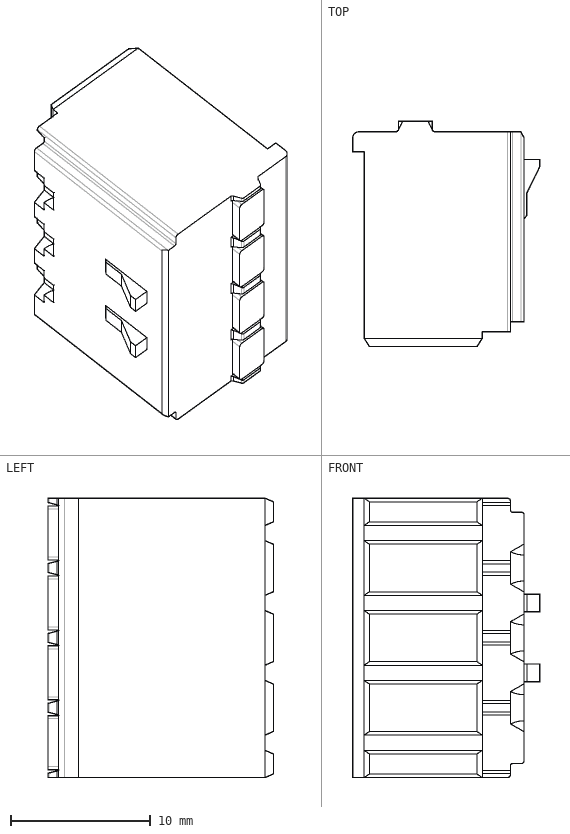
import cadquery as cq

height = 20.0
half_height = height / 2
pitch = 5.0
pole_centres = [-pitch, 0, pitch]
rib_centres = [-1.5 * pitch, -0.5 * pitch, 0.5 * pitch, 1.5 * pitch]
tooth_centres = [-2 * pitch, -pitch, 0, pitch, 2 * pitch]

block_left = 0.82
block_right = 12.28
shoulder_x = 11.3
rail_right = 9.28
rail_depth = 0.6
step_y = 1.78
back_y = 15.38
lip_y = 13.95
lip_radius = 0.45
back_chamfer_x = 0.25
back_chamfer_y = 0.45
shoulder_height = 1.0
shoulder_outer_radius = 0.22
shoulder_inner_radius = 0.15

rail_half_width = 1.95
rail_inset_x = 0.38
rail_inset_z = 0.25

tooth_front_y = 1.05
tooth_base_half = 0.52
tooth_tip_half = 0.3

back_height = 0.75
rib_left = 3.28
rib_right = 5.7
rib_half_length = 1.95
rib_edge_radius = 0.22
stud_x = (rib_left + rib_right) / 2
stud_base_half_x = 1.35
stud_neck_half_x = 1.22
stud_neck_height = 0.12
stud_tip_half_x = 0.9
stud_base_half_z = 0.52
stud_tip_half_z = 0.32
stud_edge_radius = 0.15

notch_depth = 1.0
notch_floor_half = 1.15
notch_mouth_half = 1.72
pocket_radius = 2.2
pocket_depth = 1.0

latch_tip_x = 13.4
latch_pad_x = 12.45
latch_bottom_y = 9.15
latch_pad_bevel = 0.25
latch_slope_start_y = 10.95
latch_slope_end_y = 12.88
latch_top_y = 13.4
latch_half_width = 0.65
latch_centres = [-pitch / 2, pitch / 2]


def box(x_range, y_range, z_range):
    """Box between the given limits."""
    sizes = [high - low for low, high in (x_range, y_range, z_range)]
    corner = (x_range[0], y_range[0], z_range[0])
    return cq.Workplane("XY").box(*sizes, centered=False).translate(corner)


def extrude_along_y(profile, y_start, y_end):
    """Extrude an XZ profile, drawn on Y = 0, between two Y planes."""
    return profile.extrude(y_start - y_end).translate((0, y_start, 0))


def frustum(base, tip, base_y, tip_y):
    """Taper between two XZ rectangles, each given as (x0, x1, z0, z1)."""
    def wire(limits, y):
        x0, x1, z0, z1 = limits
        corners = [(x0, y, z0), (x1, y, z0), (x1, y, z1), (x0, y, z1)]
        return cq.Wire.makePolygon([cq.Vector(*c) for c in corners], close=True)

    return cq.Workplane(obj=cq.Solid.makeLoft([wire(base, base_y), wire(tip, tip_y)], True))


def make_block():
    """Plain block with the rounded lip on its back left edge and a bevelled back right edge."""
    outline = [
        (block_left, rail_depth),
        (rail_right, rail_depth),
        (rail_right, step_y),
        (block_right, step_y),
        (block_right, back_y - back_chamfer_y),
        (block_right - back_chamfer_x, back_y),
        (0, back_y),
        (0, lip_y),
        (block_left, lip_y),
    ]
    block = cq.Workplane("XY").polyline(outline).close().extrude(height)
    block = block.translate((0, 0, -half_height))
    block = block.faces(">Y").edges("<X").fillet(lip_radius)

    return block


def make_shoulder_cut(side):
    """Waste beyond the rounded shoulder at one end; side is 1 for the top end, -1 for the bottom end."""
    ledge = half_height - shoulder_height
    outer = shoulder_outer_radius
    inner = shoulder_inner_radius
    corner = (
        cq.Workplane("XZ")
        .moveTo(shoulder_x - outer, side * half_height)
        .radiusArc((shoulder_x, side * (half_height - outer)), side * outer)
        .lineTo(shoulder_x, side * (ledge + inner))
        .radiusArc((shoulder_x + inner, side * ledge), -side * inner)
        .lineTo(block_right - outer, side * ledge)
        .radiusArc((block_right, side * (ledge - outer)), side * outer)
        .lineTo(block_right, side * half_height)
        .close()
    )
    return extrude_along_y(corner, 0, back_y)


def make_rail(z_low, z_high):
    """Front rail whose four sides slope inwards."""
    base = (block_left, rail_right, z_low, z_high)
    tip = (block_left + rail_inset_x, rail_right - rail_inset_x, z_low + rail_inset_z, z_high - rail_inset_z)
    return frustum(base, tip, rail_depth, 0)


def make_tooth(z):
    """Tapered tooth running along X in front of the step face."""
    base = (rail_right, shoulder_x, z - tooth_base_half, z + tooth_base_half)
    tip = (rail_right, shoulder_x, z - tooth_tip_half, z + tooth_tip_half)
    return frustum(base, tip, step_y, tooth_front_y)


def make_rib(z):
    """Straight rib on the back with rounded corner edges at its two ends."""
    z_range = (z - rib_half_length, z + rib_half_length)
    rib = box((rib_left, rib_right), (back_y, back_y + back_height), z_range)
    return rib.edges("|Y").fillet(rib_edge_radius)


def make_stud(z):
    """Stud on the back, tapered on all sides, with a bevelled foot and two rounded tip edges."""
    neck_y = back_y + stud_neck_height
    tip_y = back_y + back_height
    stud = (
        cq.Workplane("XY")
        .polyline([
            (stud_x - stud_base_half_x, back_y),
            (stud_x - stud_neck_half_x, neck_y),
            (stud_x - stud_tip_half_x, tip_y),
            (stud_x + stud_tip_half_x, tip_y),
            (stud_x + stud_neck_half_x, neck_y),
            (stud_x + stud_base_half_x, back_y),
        ])
        .close()
        .extrude(2 * stud_base_half_z)
        .translate((0, 0, z - stud_base_half_z))
    )
    stud = stud.edges("|Z and >Y").fillet(stud_edge_radius)

    left = stud_x - stud_base_half_x
    right = stud_x + stud_base_half_x
    base = (left, right, z - stud_base_half_z, z + stud_base_half_z)
    tip = (left, right, z - stud_tip_half_z, z + stud_tip_half_z)
    return stud.intersect(frustum(base, tip, back_y, tip_y))


def make_notch(z):
    """Flared notch in the right side; its pocket has convex round cheeks."""
    flare = (
        cq.Workplane("XZ")
        .polyline([
            (shoulder_x, z - notch_floor_half),
            (block_right, z - notch_mouth_half),
            (block_right, z + notch_mouth_half),
            (shoulder_x, z + notch_floor_half),
        ])
        .close()
    )
    pocket_length = block_right - shoulder_x
    bulge = pocket_radius - (pocket_radius**2 - pocket_length**2) ** 0.5
    mouth_half = notch_floor_half - bulge
    pocket = (
        cq.Workplane("XZ")
        .moveTo(shoulder_x, z - notch_floor_half)
        .radiusArc((block_right, z - mouth_half), pocket_radius)
        .lineTo(block_right, z + mouth_half)
        .radiusArc((shoulder_x, z + notch_floor_half), pocket_radius)
        .close()
    )
    notch_end = step_y + notch_depth
    notch = extrude_along_y(flare, step_y, notch_end)
    return notch.union(extrude_along_y(pocket, step_y, notch_end + pocket_depth))


def make_latch(z):
    """Wedge latch standing on a thin pad on the right side."""
    profile = [
        (block_right, latch_bottom_y),
        (latch_pad_x, latch_bottom_y + latch_pad_bevel),
        (latch_pad_x, latch_slope_start_y),
        (latch_tip_x, latch_slope_end_y),
        (latch_tip_x, latch_top_y),
        (block_right, latch_top_y),
    ]
    latch = cq.Workplane("XY").polyline(profile).close().extrude(2 * latch_half_width)
    return latch.translate((0, 0, z - latch_half_width))


part = make_block()

for centre in pole_centres:
    part = part.union(make_rail(centre - rail_half_width, centre + rail_half_width))
end_rail_start = 2 * pitch - rail_half_width
part = part.union(make_rail(end_rail_start, half_height))
part = part.union(make_rail(-half_height, -end_rail_start))

for centre in tooth_centres:
    part = part.union(make_tooth(centre)).union(make_stud(centre))

for centre in rib_centres:
    part = part.union(make_rib(centre))

for centre in pole_centres:
    part = part.cut(make_notch(centre))

for centre in latch_centres:
    part = part.union(make_latch(centre))

envelope = box((0, latch_tip_x), (0, back_y + back_height), (-half_height, half_height))
part = part.intersect(envelope)

for end_side in (-1, 1):
    part = part.cut(make_shoulder_cut(end_side))

result = part